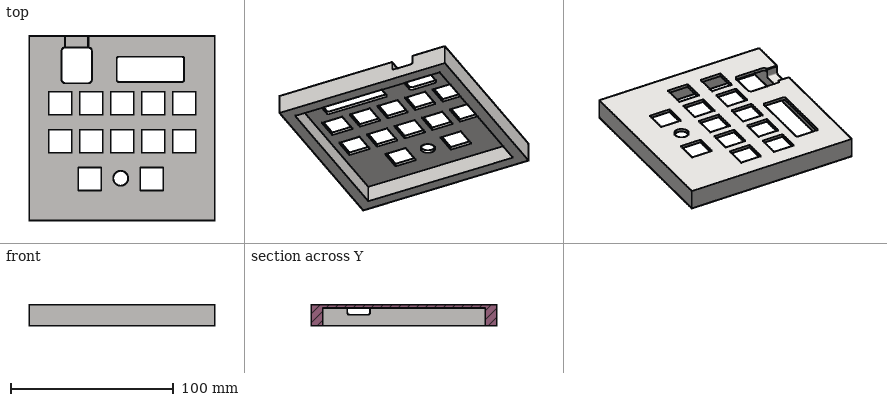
import cadquery as cq

length = 113.9
depth = 113.3
height = 13.0
wall = 7.2
plate_thickness = 2.0
inner_back = depth - wall

key_size = 14.0
key_pitch = 19.0
row_pitch = 23.2
back_row_y = 72.0
key_row_x = 57.1
bottom_row_x = 56.2
full_row = (-2, -1, 0, 1, 2)
bottom_row = (-1, 1)

round_hole_diameter = 9.0
round_hole_y = 26.0

window_width = 41.2
window_depth = 15.3
window_x = 74.4
window_y = 92.8
window_corner_radius = 1.0

pocket_width = 18.5
pocket_depth = 21.8
pocket_x = 29.2
pocket_corner_radius = 2.0
notch_width = 13.8
notch_floor_z = 7.0
notch_floor_radius = 1.0
notch_bevel = 0.5


def block(width, along_y, tall, center_x, center_y, bottom_z):
    """A box centred in X and Y and standing on bottom_z."""
    box = cq.Workplane("XY").box(width, along_y, tall, centered=(True, True, False))
    return box.translate((center_x, center_y, bottom_z))


def top_cutter(width, along_y, center_x, center_y):
    """A rectangular prism through the full height."""
    return block(width, along_y, height, center_x, center_y, 0)


def make_shell():
    outer = top_cutter(length, depth, length / 2, depth / 2)
    cavity = block(length - 2 * wall, depth - 2 * wall, height - plate_thickness,
                   length / 2, depth / 2, 0)
    return outer.cut(cavity)


def cut_keys(body):
    rows = ((full_row, key_row_x), (full_row, key_row_x), (bottom_row, bottom_row_x))
    for row_index, (columns, row_x) in enumerate(rows):
        key_y = back_row_y - row_index * row_pitch
        for column in columns:
            key_x = row_x + column * key_pitch
            body = body.cut(top_cutter(key_size, key_size, key_x, key_y))
    return body


def make_notch():
    """Channel with a rounded floor and bevelled upper edges."""
    half = notch_width / 2
    radius = notch_floor_radius
    profile = (
        cq.Workplane("XZ", origin=(pocket_x, depth, 0))
        .moveTo(-half - notch_bevel, height)
        .lineTo(-half, height - notch_bevel)
        .lineTo(-half, notch_floor_z + radius)
        .radiusArc((-half + radius, notch_floor_z), -radius)
        .lineTo(half - radius, notch_floor_z)
        .radiusArc((half, notch_floor_z + radius), -radius)
        .lineTo(half, height - notch_bevel)
        .lineTo(half + notch_bevel, height)
        .close()
    )
    return profile.extrude(wall + pocket_corner_radius)


round_hole = (
    cq.Workplane("XY")
    .center(bottom_row_x, round_hole_y)
    .circle(round_hole_diameter / 2)
    .extrude(height)
)
window = top_cutter(window_width, window_depth, window_x, window_y)
window = window.edges("|Z").fillet(window_corner_radius)

pocket = block(pocket_width, pocket_depth, plate_thickness,
               pocket_x, inner_back - pocket_depth / 2, height - plate_thickness)
pocket = pocket.edges("|Z").fillet(pocket_corner_radius)

result = cut_keys(make_shell())
result = result.cut(round_hole).cut(window).cut(pocket).cut(make_notch())